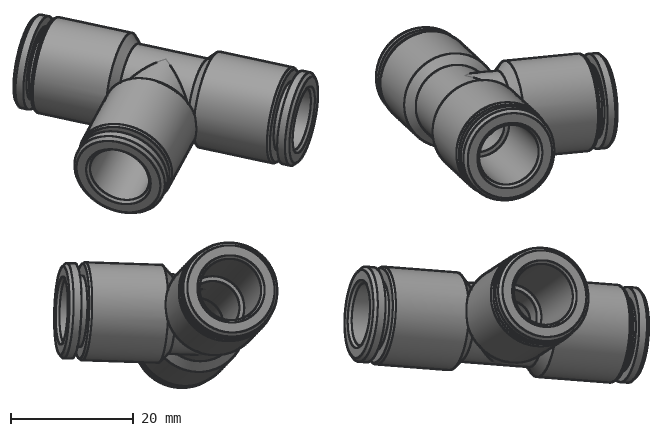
import cadquery as cq

reach = 23.75

waist_radius = 6.5
sleeve_diameter = 16.0
sleeve_radius = sleeve_diameter / 2
sleeve_start = 7.55
sleeve_end = 20.55
sleeve_chamfer_length = 0.45
sleeve_chamfer_rise = 0.3
cone_start = sleeve_start - (sleeve_radius - waist_radius)

neck_radius = 5.85
flange_radius = 7.8
flange_thickness = 1.9
flange_chamfer = 0.55
flange_start = reach - flange_thickness
neck_flare = 0.3

passage_radius = 4.28
socket_radius = 5.1
socket_floor = sleeve_start
mouth_radius = 5.55
mouth_depth = 0.5


def turned_arm(profile):
    """Revolve (radius, distance) points about the Y axis, pointing to -Y."""
    points = [(radius, -distance) for radius, distance in profile]
    return cq.Workplane("XY").polyline(points).close().revolve(360, (0, 0), (0, 1))


def three_ways(arm):
    """Place an arm along -Y, -X and +X and join the copies."""
    left = arm.rotate((0, 0, 0), (0, 0, 1), -90)
    right = arm.rotate((0, 0, 0), (0, 0, 1), 90)
    return left.union(right).union(arm)


outer_arm = turned_arm([
    (0, 0),
    (waist_radius, 0),
    (waist_radius, cone_start),
    (sleeve_radius, sleeve_start),
    (sleeve_radius, sleeve_end - sleeve_chamfer_length),
    (sleeve_radius - sleeve_chamfer_rise, sleeve_end),
    (neck_radius, sleeve_end),
    (neck_radius, flange_start - neck_flare),
    (neck_radius + neck_flare, flange_start),
    (flange_radius, flange_start),
    (flange_radius, reach - flange_chamfer),
    (flange_radius - flange_chamfer, reach),
    (0, reach),
])

bore_arm = turned_arm([
    (0, 0),
    (passage_radius, 0),
    (passage_radius, socket_floor),
    (socket_radius, socket_floor),
    (socket_radius, reach - mouth_depth),
    (mouth_radius, reach),
    (0, reach),
])

result = three_ways(outer_arm).cut(three_ways(bore_arm))